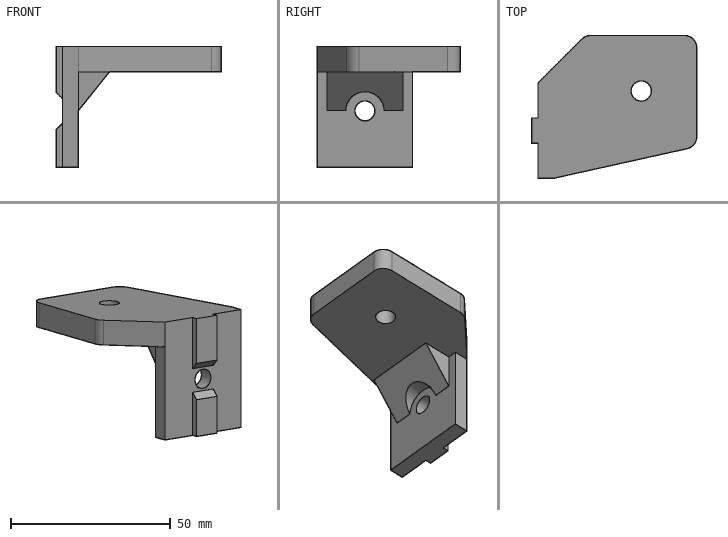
import cadquery as cq

length = 52.0
width = 45.0
height = 38.0
rail_depth = 2.05
wall_thickness = 5.0
plate_thickness = 8.0
wall_width = 30.0
corner_radius = 4.0
front_taper_rise = 10.0

rail_width = 8.05
gap_center_z = 17.75
gap_floor_height = 7.65

plate_hole_diameter = 6.3
plate_hole_x = 34.5
plate_hole_y = 27.45
wall_hole_diameter = 6.2

gusset_length = 9.85
gusset_height = 12.2
gusset_side_inset = 3.0
bolt_head_clearance_diameter = 12.0

selection_margin = 0.5

wall_center_y = wall_width / 2
wall_inner_x = rail_depth + wall_thickness
plate_bottom_z = height - plate_thickness


def make_plate():
    """Top plate: 45 degree rear corner, tapered front edge, rounded corners."""
    rear_cut = width - wall_width
    outline = [
        (rail_depth, 0),
        (wall_inner_x, 0),
        (length, front_taper_rise),
        (length, width),
        (rail_depth + rear_cut, width),
        (rail_depth, wall_width),
    ]
    plate = cq.Workplane("XY").workplane(offset=plate_bottom_z)
    plate = plate.polyline(outline).close().extrude(plate_thickness)
    rounded_corners = cq.selectors.BoxSelector(
        (wall_inner_x + selection_margin, 0, 0),
        (length + selection_margin, width + selection_margin, height),
    )
    return plate.edges("|Z").edges(rounded_corners).fillet(corner_radius)


def make_wall():
    """Upright wall below the plate."""
    return cq.Workplane("XY").box(
        wall_thickness, wall_width, height, centered=False
    ).translate((rail_depth, 0, 0))


def make_rail():
    """Two rail pieces facing each other across the gap."""
    gap_bottom = gap_center_z - gap_floor_height / 2
    gap_top = gap_center_z + gap_floor_height / 2
    lower = [(rail_depth, 0), (0, 0), (0, gap_bottom - rail_depth), (rail_depth, gap_bottom)]
    upper = [(rail_depth, height), (0, height), (0, gap_top + rail_depth), (rail_depth, gap_top)]
    rail = cq.Workplane("XZ", origin=(0, wall_center_y, 0))
    rail = rail.polyline(lower).close().polyline(upper).close()
    return rail.extrude(rail_width / 2, both=True)


def make_gusset():
    """Triangular brace below the plate with room for the bolt head."""
    outline = [
        (wall_inner_x, plate_bottom_z),
        (wall_inner_x + gusset_length, plate_bottom_z),
        (wall_inner_x, plate_bottom_z - gusset_height),
    ]
    half_width = wall_center_y - gusset_side_inset
    gusset = cq.Workplane("XZ", origin=(0, wall_center_y, 0))
    gusset = gusset.polyline(outline).close().extrude(half_width, both=True)
    clearance = cq.Workplane("YZ", origin=(wall_inner_x, wall_center_y, gap_center_z))
    clearance = clearance.circle(bolt_head_clearance_diameter / 2).extrude(gusset_length)
    return gusset.cut(clearance)


def make_plate_hole():
    """Vertical bore through the plate."""
    bore = cq.Workplane("XY", origin=(plate_hole_x, plate_hole_y, plate_bottom_z))
    return bore.circle(plate_hole_diameter / 2).extrude(plate_thickness)


def make_wall_hole():
    """Horizontal bore through the wall, centred in the rail gap."""
    bore = cq.Workplane("YZ", origin=(0, wall_center_y, gap_center_z))
    return bore.circle(wall_hole_diameter / 2).extrude(wall_inner_x)


result = make_plate().union(make_wall()).union(make_rail()).union(make_gusset())
result = result.cut(make_plate_hole()).cut(make_wall_hole())